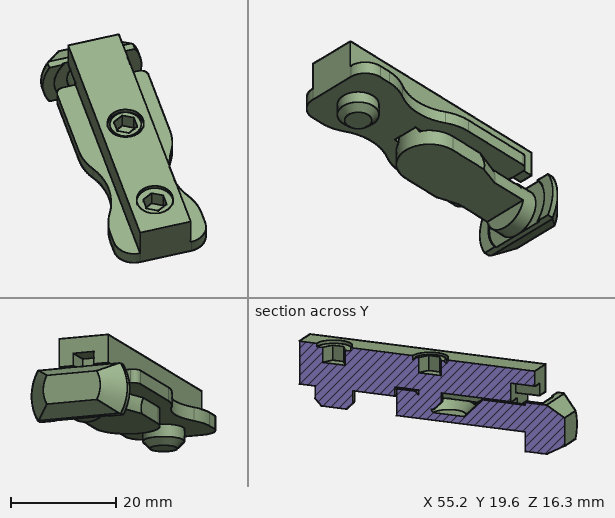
import cadquery as cq
import math

total_length = 55.2
total_height = 16.3

bar_start = 6.2
bar_width = 10.05
bar_bottom = 10.75
channel_width = 4.2
channel_top = 13.2

plate_start = 11.15
plate_end = total_length
plate_width = 18.1
plate_bottom = 7.7
plate_top = 10.3
plate_front_radius = 1.5
plate_rear_radius = 4.0
waist_x = 38.1
waist_depth = 2.8
waist_half_length = 10.7
waist_shoulder_radius = 10.0
slot_width = 5.5
slot_top = 9.5
slot_end = 35.35

neck_radius = 4.9
rod_axis_z = neck_radius
head_width = 19.6
head_radius = head_width / 2
head_thickness = 5.25
head_cone_length = 4.0
head_face_half_height = 2.8
head_bevel_length = 3.75
relief_radius = 7.5
relief_depth = 0.35
neck_end = 8.2

rod_bottom = 3.85
rod_top = 7.2
flare_start = 16.0
flare_slope = 0.33
flare_end_radius = 6.85
paddle_x = 28.75
paddle_radius = 6.3
ridge_radius = 3.0
ridge_top = 9.3

pit_x = 24.05
pit_floor = 5.45
pit_floor_radius = 3.2

clamp_screw_x = 28.05
lock_screw_x = 48.0
screw_hole_radius = 3.5
clamp_screw_recess = 0.3
clamp_screw_chamfer = 0.5
lock_screw_recess = 0.65
hex_across_flats = 4.0
hex_depth = 3.0
screw_shank_radius = 2.45
tip_bottom = 6.0
tip_radius = 0.8
nut_radius = 4.0
nut_bottom = rod_bottom
nut_chamfer = 1.4


def box(x_min, x_max, width, z_min, z_max):
    """Block centred on Y = 0."""
    return (
        cq.Workplane("XY")
        .box(x_max - x_min, width, z_max - z_min, centered=(False, True, False))
        .translate((x_min, 0, z_min))
    )


def cylinder(x, radius, z_min, z_max):
    """Vertical cylinder with its axis at Y = 0."""
    return cq.Workplane("XY", origin=(x, 0, z_min)).circle(radius).extrude(z_max - z_min)


def cone(x, bottom_radius, top_radius, z_min, z_max):
    """Vertical cone frustum with its axis at Y = 0."""
    solid = cq.Solid.makeCone(bottom_radius, top_radius, z_max - z_min, cq.Vector(x, 0, z_min))
    return cq.Workplane(obj=solid)


def turn_about_rod(profile):
    """Revolve (x, radius) points about the rod axis."""
    sketch = cq.Workplane("XZ", origin=(0, 0, rod_axis_z)).polyline(profile).close()
    return sketch.revolve(360, (0, 0, 0), (1, 0, 0))


def make_bar():
    bar = box(bar_start, total_length, bar_width, bar_bottom, total_height)
    channel = box(bar_start, plate_start, channel_width, bar_bottom, channel_top)
    pedestal = box(plate_start, plate_end, bar_width, plate_top, bar_bottom)
    return bar.cut(channel).union(pedestal)


def make_plate():
    half_width = plate_width / 2
    radius_sum = (waist_half_length**2 + waist_depth**2) / (2 * waist_depth)
    waist_radius = radius_sum - waist_shoulder_radius
    arc_angle = math.asin(waist_half_length / radius_sum)
    waist_y = half_width - waist_depth
    join_dx = waist_radius * math.sin(arc_angle)
    join_y = waist_y + waist_radius * (1 - math.cos(arc_angle))
    mid_dx = waist_half_length - waist_shoulder_radius * math.sin(arc_angle / 2)
    mid_y = half_width - waist_shoulder_radius * (1 - math.cos(arc_angle / 2))

    half = (
        cq.Workplane("XY", origin=(0, 0, plate_bottom))
        .moveTo(plate_start, 0)
        .lineTo(plate_start, half_width)
        .lineTo(waist_x - waist_half_length, half_width)
        .threePointArc((waist_x - mid_dx, mid_y), (waist_x - join_dx, join_y))
        .threePointArc((waist_x, waist_y), (waist_x + join_dx, join_y))
        .threePointArc((waist_x + mid_dx, mid_y), (waist_x + waist_half_length, half_width))
        .lineTo(plate_end, half_width)
        .lineTo(plate_end, 0)
        .close()
        .extrude(plate_top - plate_bottom)
    )
    plate = half.union(half.mirror("XZ"))
    plate = plate.edges("|Z and <X").fillet(plate_front_radius)
    plate = plate.edges("|Z and >X").fillet(plate_rear_radius)
    return plate.cut(box(plate_start, slot_end, slot_width, plate_bottom, slot_top))


def make_head():
    head = turn_about_rod(
        [
            (0, 0),
            (0, head_radius - head_cone_length),
            (head_cone_length, head_radius),
            (head_thickness, head_radius),
            (head_thickness, relief_radius),
            (head_thickness - relief_depth, relief_radius),
            (head_thickness - relief_depth, neck_radius),
            (neck_end, neck_radius),
            (neck_end, 0),
        ]
    )
    side_outline = (
        cq.Workplane("XZ", origin=(0, 0, rod_axis_z))
        .polyline(
            [
                (0, -head_face_half_height),
                (head_bevel_length, -neck_radius),
                (neck_end, -neck_radius),
                (neck_end, neck_radius),
                (head_bevel_length, neck_radius),
                (0, head_face_half_height),
            ]
        )
        .close()
        .extrude(head_radius, both=True)
    )
    return head.intersect(side_outline)


def make_rod():
    paddle_end = paddle_x + paddle_radius
    flare_end = flare_start + (flare_end_radius - neck_radius) / flare_slope
    turned = turn_about_rod(
        [
            (head_cone_length, 0),
            (head_cone_length, neck_radius),
            (flare_start, neck_radius),
            (flare_end, flare_end_radius),
            (paddle_end, flare_end_radius),
            (paddle_end, 0),
        ]
    )
    flat = turned.intersect(box(head_cone_length, paddle_end, 2 * flare_end_radius, rod_bottom, rod_top))
    ridge_axis_z = ridge_top - ridge_radius
    ridge = (
        cq.Workplane("YZ", origin=(head_cone_length, 0, ridge_axis_z))
        .circle(ridge_radius)
        .extrude(paddle_end - head_cone_length)
        .intersect(box(head_cone_length, paddle_end, 2 * ridge_radius, rod_top, ridge_top))
    )
    plan_outline = box(head_cone_length, paddle_x, 2 * paddle_radius, rod_bottom, ridge_top).union(
        cylinder(paddle_x, paddle_radius, rod_bottom, ridge_top)
    )
    pit_top_radius = pit_floor_radius + ridge_top - pit_floor
    pit = cone(pit_x, pit_floor_radius, pit_top_radius, pit_floor, ridge_top)
    return flat.union(ridge).intersect(plan_outline).cut(pit)


def cut_screw_head(body, x, recess):
    """Sink the screw head below the bar top and cut its hexagon socket."""
    head_top = total_height - recess
    body = body.cut(cylinder(x, screw_hole_radius, head_top, total_height))
    hex_diameter = hex_across_flats / math.cos(math.pi / 6)
    socket = cq.Workplane("XY", origin=(x, 0, head_top)).polygon(6, hex_diameter).extrude(-hex_depth)
    return body.cut(socket)


def make_head_bevel():
    """Ring that bevels the rim of the clamp screw head."""
    head_top = total_height - clamp_screw_recess
    rim_z = head_top - clamp_screw_chamfer
    crown_radius = screw_hole_radius - clamp_screw_chamfer
    ring = cylinder(clamp_screw_x, screw_hole_radius, rim_z, head_top)
    return ring.cut(cone(clamp_screw_x, screw_hole_radius, crown_radius, rim_z, head_top))


def make_clamp_screw():
    tip_top = tip_bottom + screw_shank_radius - tip_radius
    tip = cone(clamp_screw_x, tip_radius, screw_shank_radius, tip_bottom, tip_top)
    return tip.union(cylinder(clamp_screw_x, screw_shank_radius, tip_top, plate_top))


def make_lock_nut():
    nut = cylinder(lock_screw_x, nut_radius, nut_bottom, plate_top)
    return nut.faces("<Z").chamfer(nut_chamfer)


body = make_bar().union(make_plate()).union(make_lock_nut()).union(make_clamp_screw())
body = cut_screw_head(body, clamp_screw_x, clamp_screw_recess)
body = cut_screw_head(body, lock_screw_x, lock_screw_recess)
body = body.cut(make_head_bevel())
result = body.union(make_head()).union(make_rod())